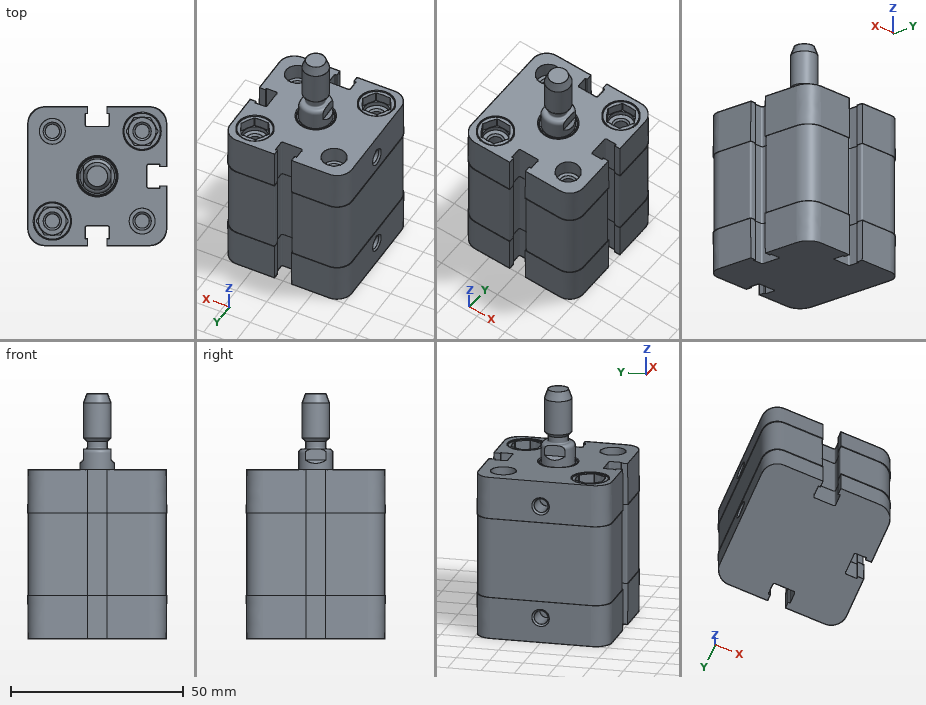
import cadquery as cq
import math

BARREL_WIDTH = 40.0
COVER_WIDE = 40.3
CORNER_RADIUS = 5.0
COVER_HEIGHT = 12.5
DRAFT_ANGLE = 0.5
COVER_DRAFT = COVER_HEIGHT * math.tan(math.radians(DRAFT_ANGLE))
BARREL_HEIGHT = 24.0
HEAD_BOTTOM = COVER_HEIGHT + BARREL_HEIGHT
BODY_TOP = HEAD_BOTTOM + COVER_HEIGHT
TOTAL_HEIGHT = 71.0

SLOT_ANGLES = (0, 90, -90)
SLOT_MOUTH = 5.6
SLOT_WIDTH = 6.9
SLOT_DEPTH = 5.6
SLOT_LIP = 1.9
SLOT_OVERRUN = 1.0
SLOT_FLOOR_FILLET = 0.5
SLOT_MOUTH_FILLET = 0.5

THREAD_DIAMETER = 4.13
THREAD_MOUTH = 5.3
MOUTH_CLEARANCE = 0.2
PORT_DEPTH = 7.0
PORT_OFFSET = 7.5
HOLE_OFFSET = 13.0
SEAT_DEPTH = 5.0
COUNTERBORE_DIAMETER = 7.5

RING_OUTER = 11.1
RING_INNER = 10.48
RING_DEPTH = 0.5
RIM_DEPTH = 0.2
HEX_ACROSS_FLATS = 8.1
HEX_CORNER_DIAMETER = 9.2
HEX_RELIEF_DIAMETER = 8.3
HEX_DEPTH = 3.2
SOCKET_DIAMETER = 8.0
SOCKET_DEPTH = 4.6

BEARING_OUTER = 12.0
BEARING_INNER = 11.4
BEARING_CHAMFER = (BEARING_OUTER - BEARING_INNER) / 2
SEAL_DIAMETER = 10.9
SEAL_DEPTH = 0.4

ROD_DIAMETER = 10.0
SHOULDER_TOP = 55.0
SHOULDER_FILLET = 1.2
FLATS_WIDTH = 8.0
FLATS_BOTTOM = 51.8
STUD_DIAMETER = 8.0
STUD_TIP = 6.0
STUD_TIP_HEIGHT = 2.7
STUD_BOTTOM = 58.2
NECK_DIAMETER = 5.8
NECK_FILLET = 0.4


def cone(upper, lower, height, top):
    """Frustum with the given upper and lower diameters, its upper end at height top."""
    solid = cq.Solid.makeCone(lower / 2, upper / 2, height, cq.Vector(0, 0, top - height))
    return cq.Workplane(obj=solid)


def cylinder(diameter, bottom, top):
    return cq.Workplane(origin=(0, 0, bottom)).circle(diameter / 2).extrude(top - bottom)


def rounded_square(width, radius):
    return cq.Sketch().rect(width, width).vertices().fillet(radius)


def slot_cutter(bottom, top, mouth_fillet):
    """T-slot prism on the +X side; a mouth fillet widens it towards the outer face."""
    face = BARREL_WIDTH / 2
    outside = face + SLOT_OVERRUN
    lip = face - SLOT_LIP
    floor = face - SLOT_DEPTH
    height = top - bottom
    chamber = (
        cq.Workplane(origin=((floor + lip) / 2, 0, bottom))
        .rect(lip - floor, SLOT_WIDTH)
        .extrude(height)
        .edges("|Z and <X")
        .fillet(SLOT_FLOOR_FILLET)
    )
    mouth = cq.Workplane(origin=((lip + outside) / 2, 0, bottom)).rect(outside - lip, SLOT_MOUTH)
    cutter = chamber.union(mouth.extrude(height))
    if mouth_fillet:
        flare_width = SLOT_MOUTH + 2 * mouth_fillet
        flare = cq.Workplane(origin=(face - mouth_fillet / 2, 0, bottom)).rect(mouth_fillet, flare_width)
        lobes = (
            cq.Workplane(origin=(face - mouth_fillet, 0, bottom))
            .pushPoints([(0, -flare_width / 2), (0, flare_width / 2)])
            .circle(mouth_fillet)
            .extrude(height)
        )
        cutter = cutter.union(flare.extrude(height).cut(lobes))
    return cutter


def cut_slots(body, bottom, top, mouth_fillet=0):
    cutter = slot_cutter(bottom, top, mouth_fillet)
    for angle in SLOT_ANGLES:
        body = body.cut(cutter.rotate((0, 0, 0), (0, 0, 1), angle))
    return body


def thread_cutter(top, depth):
    """Blind M5 core hole along -Z with a countersunk mouth."""
    mouth_depth = (THREAD_MOUTH - THREAD_DIAMETER) / 2
    mouth = cone(THREAD_MOUTH, THREAD_DIAMETER, mouth_depth, top)
    entry = cylinder(THREAD_MOUTH, top, top + MOUTH_CLEARANCE)
    return cylinder(THREAD_DIAMETER, top - depth, top).union(mouth).union(entry)


def make_cover():
    """Drafted cover: wide joint face at z = 0, free face at the top, port on -X."""
    wide = rounded_square(COVER_WIDE, CORNER_RADIUS)
    narrow = rounded_square(COVER_WIDE - 2 * COVER_DRAFT, CORNER_RADIUS - COVER_DRAFT)
    free_face = cq.Location(cq.Vector(0, 0, COVER_HEIGHT))
    cover = cq.Workplane().placeSketch(wide, narrow.moved(free_face)).loft()
    cover = cut_slots(cover, 0, COVER_HEIGHT)
    port = thread_cutter(0, PORT_DEPTH).rotate((0, 0, 0), (0, 1, 0), -90)
    return cover.cut(port.translate((-COVER_WIDE / 2, 0, COVER_HEIGHT - PORT_OFFSET)))


def counterbore_cutter():
    """Counterbored thread, with the cover face at z = 0."""
    thread = thread_cutter(-SEAT_DEPTH, COVER_HEIGHT - SEAT_DEPTH)
    return cylinder(COUNTERBORE_DIAMETER, -SEAT_DEPTH, 0).union(thread)


def hex_socket_cutter():
    """Ring groove with a chamfered rim, hexagon socket and thread, with the cover face at z = 0."""
    corners = HEX_ACROSS_FLATS / 3 ** 0.5 * 2
    hexagon = cq.Workplane(origin=(0, 0, -HEX_DEPTH)).polygon(6, corners).extrude(HEX_DEPTH)
    hexagon = hexagon.intersect(cylinder(HEX_CORNER_DIAMETER, -HEX_DEPTH, 0))
    relief = cylinder(HEX_RELIEF_DIAMETER, -HEX_DEPTH, 0)
    socket = cylinder(SOCKET_DIAMETER, -SOCKET_DEPTH, 0)
    rim_cone = cone(RING_INNER, RING_OUTER, RING_DEPTH - RIM_DEPTH, -RIM_DEPTH)
    ring = cylinder(RING_OUTER, -RING_DEPTH, 0).cut(rim_cone)
    thread = thread_cutter(-SOCKET_DEPTH, COVER_HEIGHT - SOCKET_DEPTH)
    return ring.union(hexagon).union(relief).union(socket).union(thread)


def make_head():
    """Top cover with the rod opening and the four corner holes."""
    head = make_cover().translate((0, 0, HEAD_BOTTOM))
    for side in (-1, 1):
        x = side * HOLE_OFFSET
        head = head.cut(hex_socket_cutter().translate((x, x, BODY_TOP)))
        head = head.cut(counterbore_cutter().translate((x, -x, BODY_TOP)))
    head = head.cut(cylinder(ROD_DIAMETER, HEAD_BOTTOM, BODY_TOP))
    head = head.cut(cylinder(SEAL_DIAMETER, BODY_TOP - SEAL_DEPTH, BODY_TOP))
    return head.cut(cone(BEARING_OUTER, BEARING_INNER, BEARING_CHAMFER, BODY_TOP))


def make_barrel():
    outline = rounded_square(BARREL_WIDTH, CORNER_RADIUS)
    barrel = cq.Workplane(origin=(0, 0, COVER_HEIGHT)).placeSketch(outline).extrude(BARREL_HEIGHT)
    return cut_slots(barrel, COVER_HEIGHT, HEAD_BOTTOM, SLOT_MOUTH_FILLET)


def make_end_cover():
    """Bottom cover: the plain cover turned over, with its port still on -X."""
    return make_cover().rotate((0, 0, 0), (1, 0, 0), 180).translate((0, 0, COVER_HEIGHT))


def make_rod():
    """Rod with wrench flats, a relief neck and a stud."""
    rod_radius = ROD_DIAMETER / 2
    stud_radius = STUD_DIAMETER / 2
    neck_radius = NECK_DIAMETER / 2
    shoulder_radius = rod_radius - SHOULDER_FILLET
    diagonal = 0.5 ** 0.5
    fillet_middle = (shoulder_radius + SHOULDER_FILLET * diagonal,
                     SHOULDER_TOP - SHOULDER_FILLET * (1 - diagonal))
    neck_middle = (neck_radius + NECK_FILLET * (1 - diagonal),
                   SHOULDER_TOP + NECK_FILLET * (1 - diagonal))
    rod = (
        cq.Workplane("XZ")
        .moveTo(0, HEAD_BOTTOM)
        .lineTo(rod_radius, HEAD_BOTTOM)
        .lineTo(rod_radius, SHOULDER_TOP - SHOULDER_FILLET)
        .threePointArc(fillet_middle, (shoulder_radius, SHOULDER_TOP))
        .lineTo(neck_radius + NECK_FILLET, SHOULDER_TOP)
        .threePointArc(neck_middle, (neck_radius, SHOULDER_TOP + NECK_FILLET))
        .lineTo(neck_radius, STUD_BOTTOM - (stud_radius - neck_radius))
        .lineTo(stud_radius, STUD_BOTTOM)
        .lineTo(stud_radius, TOTAL_HEIGHT - STUD_TIP_HEIGHT)
        .lineTo(STUD_TIP / 2, TOTAL_HEIGHT)
        .lineTo(0, TOTAL_HEIGHT)
        .close()
        .revolve(360, (0, 0, 0), (0, 1, 0))
    )
    flat = FLATS_WIDTH / 2
    runout = rod_radius - flat
    for side in (-1, 1):
        cutter = (
            cq.Workplane("XZ")
            .polyline([
                (side * flat, SHOULDER_TOP),
                (side * flat, FLATS_BOTTOM),
                (side * rod_radius, FLATS_BOTTOM - runout),
                (side * rod_radius, SHOULDER_TOP),
            ])
            .close()
            .extrude(rod_radius, both=True)
        )
        rod = rod.cut(cutter)
    return rod


head = make_head()
barrel = make_barrel()
end_cover = make_end_cover()
rod = make_rod()

result = cq.Compound.makeCompound([head.val(), barrel.val(), end_cover.val(), rod.val()])